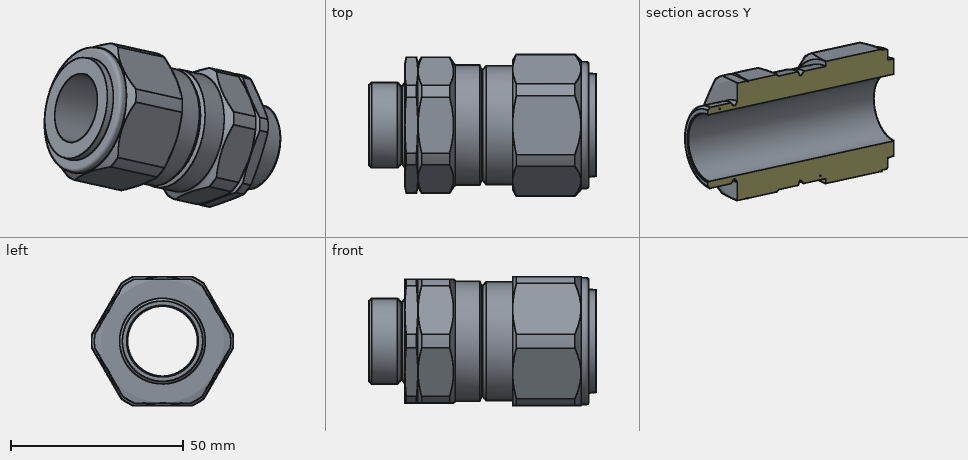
import cadquery as cq
import math

LENGTH = 65.95

THREAD_RADIUS = 12.45
THREAD_CHAMFER = 0.8
THREAD_END = 8.25
UNDERCUT_RADIUS = 11.3
UNDERCUT_START = 9.35
UNDERCUT_END = 9.6

BORE_RADIUS = 10.15
BORE_MOUTH_CHAMFER = 0.25

SMALL_FLATS = 36.1
SMALL_CORNER_RADIUS = 19.8
SMALL_FACE_RADIUS = 17.9
LOCK_NUT_START = 10.4
LOCK_NUT_END = 14.2
LOCK_NUT_CHAMFER = 0.4
BODY_HEX_END = 24.65
BODY_HEX_FRONT_CHAMFER = 1.1
BODY_HEX_REAR_CHAMFER = 1.25

FRONT_COLLAR_START = 25.1
FRONT_COLLAR_RADIUS = 17.5
FRONT_COLLAR_END = 32.1
GROOVE_RADIUS = 16.1
GROOVE_START = 32.7
GROOVE_END = 33.0
REAR_COLLAR_START = 34.1
REAR_COLLAR_RADIUS = 17.3

LARGE_FLATS = 37.5
LARGE_CORNER_DIAMETER = 41.2
LARGE_CORNER_RADIUS = LARGE_CORNER_DIAMETER / 2
LARGE_HEX_START = 41.75
LARGE_HEX_END = 61.7
LARGE_FRONT_CHAMFER = 1.05
LARGE_FRONT_FACE_RADIUS = 18.7
LARGE_REAR_CHAMFER = 1.9
LARGE_REAR_FACE_RADIUS = 18.6
RIM_RADIUS = 18.45
RIM_END = 63.9
RIM_FILLET = 1.0

SEAL_BASE_RADIUS = 15.1
SEAL_TIP_RADIUS = 14.9


def revolve_about_x(profile):
    """Revolve a closed (x, radius) outline about the X axis."""
    return profile.close().revolve(360, (0, 0, 0), (1, 0, 0))


def hexagon(start, end, flats, corner_radius, front_radius, front_chamfer, rear_radius, rear_chamfer):
    """Hexagonal prism with flats on +Z and -Z, turned to a round, chamfered outline."""
    across_corners = flats / math.cos(math.pi / 6)
    prism = cq.Workplane("YZ").workplane(offset=start).polygon(6, across_corners).extrude(end - start)
    envelope = revolve_about_x(
        cq.Workplane("XY")
        .moveTo(start, 0)
        .lineTo(start, front_radius)
        .lineTo(start + front_chamfer, corner_radius)
        .lineTo(end - rear_chamfer, corner_radius)
        .lineTo(end, rear_radius)
        .lineTo(end, 0)
    )
    return prism.intersect(envelope)


def turned_core():
    """Every round section of the part, from the entry thread to the sealing ring."""
    fillet_offset = RIM_FILLET * (1 - math.sqrt(0.5))
    return revolve_about_x(
        cq.Workplane("XY")
        .moveTo(0, 0)
        .lineTo(0, THREAD_RADIUS - THREAD_CHAMFER)
        .lineTo(THREAD_CHAMFER, THREAD_RADIUS)
        .lineTo(THREAD_END, THREAD_RADIUS)
        .lineTo(UNDERCUT_START, UNDERCUT_RADIUS)
        .lineTo(UNDERCUT_END, UNDERCUT_RADIUS)
        .lineTo(LOCK_NUT_START, THREAD_RADIUS)
        .lineTo(LOCK_NUT_START, FRONT_COLLAR_RADIUS)
        .lineTo(BODY_HEX_END, FRONT_COLLAR_RADIUS)
        .lineTo(BODY_HEX_END, SMALL_FACE_RADIUS)
        .lineTo(FRONT_COLLAR_START, FRONT_COLLAR_RADIUS)
        .lineTo(FRONT_COLLAR_END, FRONT_COLLAR_RADIUS)
        .lineTo(GROOVE_START, GROOVE_RADIUS)
        .lineTo(GROOVE_END, GROOVE_RADIUS)
        .lineTo(REAR_COLLAR_START, REAR_COLLAR_RADIUS)
        .lineTo(LARGE_HEX_END, REAR_COLLAR_RADIUS)
        .lineTo(LARGE_HEX_END, RIM_RADIUS)
        .lineTo(RIM_END - RIM_FILLET, RIM_RADIUS)
        .threePointArc(
            (RIM_END - fillet_offset, RIM_RADIUS - fillet_offset),
            (RIM_END, RIM_RADIUS - RIM_FILLET),
        )
        .lineTo(RIM_END, SEAL_BASE_RADIUS)
        .lineTo(LENGTH, SEAL_TIP_RADIUS)
        .lineTo(LENGTH, 0)
    )


def bore():
    """Through bore with a small chamfer at the thread end."""
    return revolve_about_x(
        cq.Workplane("XY")
        .moveTo(0, 0)
        .lineTo(0, BORE_RADIUS + BORE_MOUTH_CHAMFER)
        .lineTo(BORE_MOUTH_CHAMFER, BORE_RADIUS)
        .lineTo(LENGTH, BORE_RADIUS)
        .lineTo(LENGTH, 0)
    )


lock_nut = hexagon(
    LOCK_NUT_START, LOCK_NUT_END, SMALL_FLATS, SMALL_CORNER_RADIUS,
    SMALL_FACE_RADIUS, LOCK_NUT_CHAMFER, SMALL_FACE_RADIUS, LOCK_NUT_CHAMFER,
)
body_hex = hexagon(
    LOCK_NUT_END, BODY_HEX_END, SMALL_FLATS, SMALL_CORNER_RADIUS,
    SMALL_FACE_RADIUS, BODY_HEX_FRONT_CHAMFER, SMALL_FACE_RADIUS, BODY_HEX_REAR_CHAMFER,
)
gland_nut = hexagon(
    LARGE_HEX_START, LARGE_HEX_END, LARGE_FLATS, LARGE_CORNER_RADIUS,
    LARGE_FRONT_FACE_RADIUS, LARGE_FRONT_CHAMFER, LARGE_REAR_FACE_RADIUS, LARGE_REAR_CHAMFER,
)

result = turned_core().union(lock_nut).union(body_hex).union(gland_nut).cut(bore())